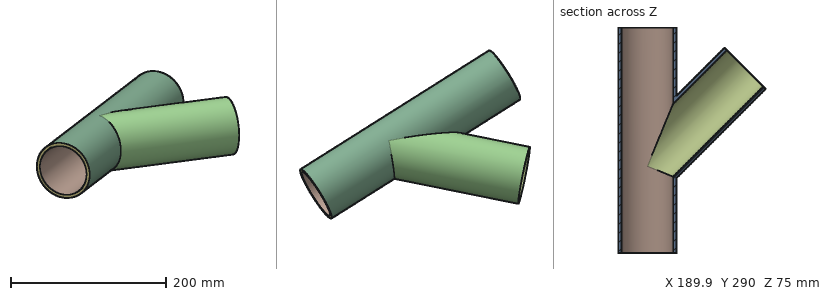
import cadquery as cq

outer_diameter = 75.0
bore_diameter = 66.0

run_length = 290.0
junction_from_front_end = 112.0

branch_angle = 45.0
branch_length = 178.0


def cylinder_along_y(diameter, start_y, length):
    """Solid cylinder on the Y axis, from start_y toward +Y."""
    return cq.Workplane(
        cq.Solid.makeCylinder(diameter / 2, length, cq.Vector(0, start_y, 0), cq.Vector(0, 1, 0))
    )


def wye(diameter):
    """Main run and branch joined as solid cylinders of one diameter."""
    run = cylinder_along_y(diameter, -junction_from_front_end, run_length)
    branch = cylinder_along_y(diameter, 0, branch_length)
    branch = branch.rotate((0, 0, 0), (0, 0, 1), -branch_angle)
    return run.union(branch)


result = wye(outer_diameter).cut(wye(bore_diameter))